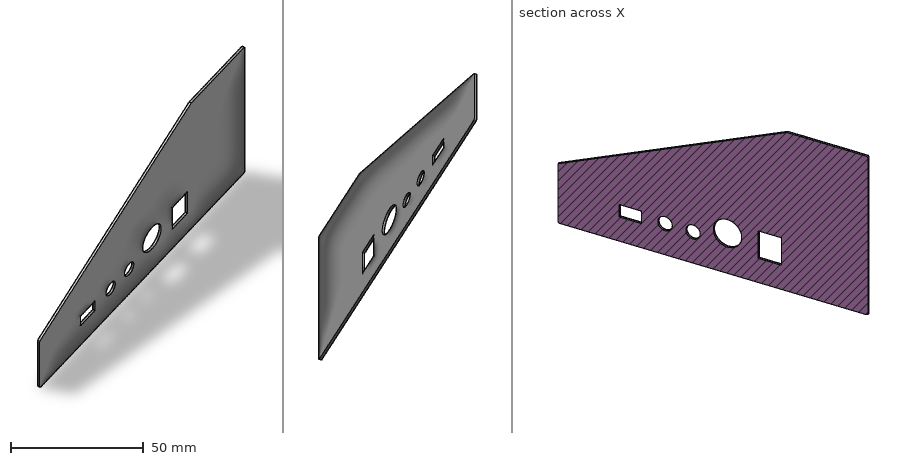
import cadquery as cq

thickness = 1.0
length = 134.0
height = 71.0
low_end_height = 26.5
flat_top_length = 35.1
corner_radius = 1.0

cutout_base = 11.0
socket_width = 9.8
socket_height = 12.0
socket_distance = 42.5
large_hole_diameter = 12.0
large_hole_distance = 60.7
large_hole_height = 18.0
small_hole_diameter = 6.0
small_hole_distances = (75.6, 87.6)
slot_width = 9.4
slot_height = 5.4
slot_distance = 102.6

tall_end = length / 2


def make_plate():
    """Flat plate with a sloping top and rounded corners."""
    outline = [
        (-tall_end, 0),
        (tall_end, 0),
        (tall_end, height),
        (tall_end - flat_top_length, height),
        (-tall_end, low_end_height),
    ]
    plate = cq.Workplane("YZ").polyline(outline).close().extrude(thickness / 2, both=True)
    return plate.edges("|X and (<Y or >Y)").fillet(corner_radius)


def round_cutter(distance, center_height, diameter):
    """Cylinder through the plate."""
    sketch = cq.Workplane("YZ").center(tall_end - distance, center_height)
    return sketch.circle(diameter / 2).extrude(thickness, both=True)


def rectangular_cutter(distance, width, opening_height):
    """Block through the plate, standing on the common cutout base line."""
    sketch = cq.Workplane("YZ").center(tall_end - distance, cutout_base + opening_height / 2)
    return sketch.rect(width, opening_height).extrude(thickness, both=True)


result = make_plate()
result = result.cut(rectangular_cutter(socket_distance, socket_width, socket_height))
result = result.cut(rectangular_cutter(slot_distance, slot_width, slot_height))
result = result.cut(round_cutter(large_hole_distance, large_hole_height, large_hole_diameter))

small_hole_height = cutout_base + small_hole_diameter / 2
for small_hole_distance in small_hole_distances:
    result = result.cut(round_cutter(small_hole_distance, small_hole_height, small_hole_diameter))